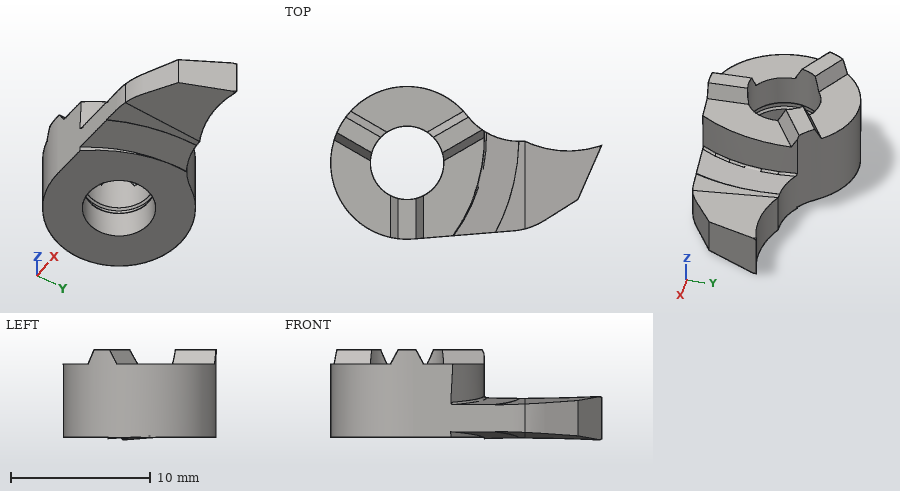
import cadquery as cq
import math

hub_radius = 5.5
hub_height = 5.28
bore_radius = 2.63
shoulder_radius = 11.9
shoulder_y = 1.75
shoulder_x = 5.55
shoulder_center = (shoulder_x - shoulder_radius, shoulder_y)
root_fillet = 0.15

groove_depth = 0.15
groove_bottom = 2.5
groove_height = 0.6

tooth_height = 1.01
tooth_base_width = 2.38
tooth_top_width = 1.29
tooth_angles = (-90, 30, 150)

belly_angle = -85.2
belly_corner = (8.85, -4.8)
belly_round = 4.97
heel = (12.28, -2.63)
tip = (14.0, 1.27)
rake_middle = (11.55, 0.85)
joint_x = 8.48
neck_x = 8.03
neck_y = 1.56
neck_radius = (neck_x**2 + neck_y**2 - hub_radius**2) / (2 * (hub_radius - neck_y))

mid_z = 1.375
land_y = 1.29
shank_half = 1.414
side_relief = 0.067
tip_flare = 0.028
shank_radius = 14.37
corner_length = 0.18
corner_drop = 0.1

low_y = -7.8
high_y = 7.8
blank_start_x = -1.95
blank_end_x = 15.6


def on_circle(center, radius, degrees):
    angle = math.radians(degrees)
    return (center[0] + radius * math.cos(angle), center[1] + radius * math.sin(angle))


def toward(start, end, distance):
    span = math.dist(start, end)
    return tuple(a + (b - a) * distance / span for a, b in zip(start, end))


def plan_outline():
    """Closed plan outline at Z = 0, shared by the carrier and the cutting tip."""
    belly_start = on_circle((0, 0), hub_radius, belly_angle)
    slope_in = math.atan2(belly_corner[1] - belly_start[1], belly_corner[0] - belly_start[0])
    slope_out = math.atan2(heel[1] - belly_corner[1], heel[0] - belly_corner[0])
    trim = belly_round * math.tan((slope_out - slope_in) / 2)
    round_start = toward(belly_corner, belly_start, trim)
    round_end = toward(belly_corner, heel, trim)
    neck_center = (neck_x, neck_y + neck_radius)
    hub_angle = math.degrees(math.atan2(neck_center[1], neck_center[0]))
    neck_start = on_circle((0, 0), hub_radius, hub_angle)
    neck_middle = on_circle(neck_center, neck_radius, (hub_angle - 180 - 90) / 2)
    return (
        cq.Workplane("XY")
        .moveTo(*belly_start)
        .lineTo(*round_start)
        .tangentArcPoint(round_end, relative=False)
        .lineTo(*heel)
        .lineTo(*tip)
        .threePointArc(rake_middle, (joint_x, neck_y))
        .lineTo(neck_x, neck_y)
        .threePointArc(neck_middle, neck_start)
        .threePointArc((-hub_radius, 0), belly_start)
        .close()
    )


def cylinder(center, radius, bottom, top):
    return cq.Workplane("XY", origin=(*center, bottom)).circle(radius).extrude(top - bottom)


def blade_blank(flare, flat_land):
    """Long bar that thins toward -Y by the side relief and thickens along X by the flare."""
    def section(x):
        half = shank_half + flare * (x - neck_x)
        low = half - side_relief * (land_y - low_y)
        high = half if flat_land else half + side_relief * (high_y - land_y)
        profile = [(low_y, low), (high_y, high)]
        if flat_land:
            profile.insert(1, (land_y, half))
        upper = [cq.Vector(x, y, mid_z + h) for y, h in profile]
        lower = [cq.Vector(x, y, mid_z - h) for y, h in reversed(profile)]
        return cq.Wire.makePolygon(upper + lower, close=True)

    solid = cq.Solid.makeLoft([section(blank_start_x), section(blank_end_x)], True)
    return cq.Workplane(solid)


def shoulder_half():
    """Upper half of the shoulder cylinder, its axis square to the upper shank face."""
    pivot = (*shoulder_center, hub_height)
    pivot_end = (shoulder_center[0] + 0.2, shoulder_center[1], hub_height)
    tilt = math.degrees(math.atan(side_relief))
    tilted = cylinder(shoulder_center, shoulder_radius, -hub_height, 2 * hub_height)
    return tilted.rotate(pivot, pivot_end, tilt).intersect(
        cylinder(shoulder_center, 2 * shoulder_radius, mid_z, tooth_top)
    )


def corner_bevel():
    """Wedge that bevels the upper cutting corner along Y."""
    corner_z = mid_z + shank_half + tip_flare * (tip[0] - neck_x)
    slope = corner_drop / corner_length
    reach = 3 * corner_length
    start_x = tip[0] - corner_length
    return (
        cq.Workplane("XZ")
        .polyline([
            (start_x, corner_z),
            (start_x + reach, corner_z - slope * reach),
            (start_x + reach, corner_z + reach),
            (start_x, corner_z + reach),
        ])
        .close()
        .extrude(high_y, both=True)
    )


def bore_groove():
    """Trapezoidal ring cut into the bore wall."""
    groove_top = groove_bottom + groove_height
    groove_radius = bore_radius + groove_depth
    return (
        cq.Workplane("XZ")
        .polyline([
            (0, groove_bottom),
            (bore_radius, groove_bottom),
            (groove_radius, groove_bottom + groove_depth),
            (groove_radius, groove_top - groove_depth),
            (bore_radius, groove_top),
            (0, groove_top),
        ])
        .close()
        .revolve(360, (0, 0, 0), (0, 1, 0))
    )


def drive_tooth(angle):
    """Trapezoidal bar running outward from the bore axis."""
    return (
        cq.Workplane("YZ")
        .polyline([
            (-tooth_base_width / 2, hub_height),
            (tooth_base_width / 2, hub_height),
            (tooth_top_width / 2, hub_height + tooth_height),
            (-tooth_top_width / 2, hub_height + tooth_height),
        ])
        .close()
        .extrude(2 * hub_radius)
        .rotate((0, 0, 0), (0, 0, 1), angle)
    )


def mirrored(body):
    """Copy of a body reflected in the middle plane of the blade."""
    return body.mirror("XY", (0, 0, mid_z))


tooth_top = hub_height + tooth_height
prism = plan_outline().extrude(tooth_top + mid_z).translate((0, 0, -mid_z))
upper_shoulder = shoulder_half()
shoulder = upper_shoulder.union(mirrored(upper_shoulder))
shank_cylinder = cylinder(shoulder_center, shank_radius, -mid_z, tooth_top)
joint_block = (
    cq.Workplane("XY", origin=(joint_x, 0, 0))
    .box(blank_end_x, 2 * high_y, 2 * high_y, centered=(False, True, True))
)

shank = prism.intersect(shank_cylinder).intersect(blade_blank(0, flat_land=False)).cut(shoulder)
flared = prism.cut(shank_cylinder).intersect(blade_blank(tip_flare, flat_land=True))

hub = prism.intersect(cylinder((0, 0), 3 * hub_radius, 0, hub_height)).intersect(shoulder)
carrier = hub.union(shank.cut(joint_block)).union(flared.cut(joint_block))
root_edge = [
    edge for edge in carrier.edges("%CIRCLE").vals()
    if math.isclose(edge.radius(), shoulder_radius, abs_tol=0.002) and edge.Center().z > mid_z
]
carrier = carrier.newObject(root_edge).fillet(root_fillet)
for tooth_angle in tooth_angles:
    carrier = carrier.union(drive_tooth(tooth_angle).intersect(prism).intersect(shoulder))
carrier = carrier.cut(cylinder((0, 0), bore_radius, -mid_z, tooth_top))
carrier = carrier.cut(bore_groove())

cutting_tip = flared.intersect(joint_block).cut(corner_bevel()).cut(mirrored(corner_bevel()))

result = cq.Compound.makeCompound([carrier.val(), cutting_tip.val()])